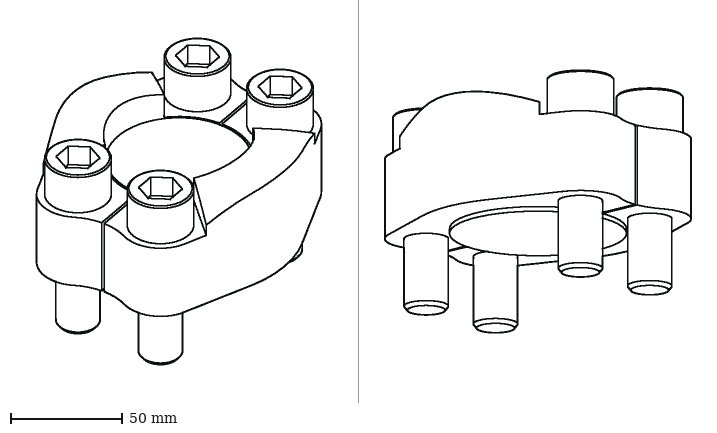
import cadquery as cq
import math


CLAMP_WIDTH = 113.6
CLAMP_LENGTH = 134.0
PAD_HEIGHT = 37.0
CROWN_HEIGHT = 51.9
CROWN_RADIUS = 108.5
BORE_DIAMETER = 67.7
SPLIT_GAP = 1.3
SIDE_RADIUS = CLAMP_WIDTH / 2
WAIST_RADIUS = 29.5

SCREW_X = 22.2
SCREW_Y = 48.4
SHANK_DIAMETER = 20.0
HEAD_DIAMETER = 30.0
HEAD_HEIGHT = SHANK_DIAMETER
HEAD_CHAMFER = 0.8
SCREW_LENGTH = 70.1
TIP_CHAMFER_RADIAL = 1.5
TIP_CHAMFER_LENGTH = 1.9
HEX_ACROSS_FLATS = 17.0
HEX_DEPTH = 10.0

PLUG_DIAMETER = 65.7
PLUG_TOP = PAD_HEIGHT
COLLAR_DIAMETER = 79.5
COLLAR_BOTTOM = -2.1
COLLAR_THICKNESS = 7.1

LOBE_RADIUS = CLAMP_LENGTH / 2 - SCREW_Y


def outline_quarter_points():
    """Joints and arc midpoints of the clamp outline in the +X +Y quarter, from side to waist."""
    screw_distance = math.hypot(SCREW_X, SCREW_Y)
    normal = math.atan2(SCREW_Y, SCREW_X) - math.acos((SIDE_RADIUS - LOBE_RADIUS) / screw_distance)

    waist_lean = math.asin(SCREW_X / (LOBE_RADIUS + WAIST_RADIUS))
    waist_y = SCREW_Y + SCREW_X / math.tan(waist_lean)
    lobe_end = math.pi / 2 + waist_lean
    lobe_middle = (normal + lobe_end) / 2

    def on_lobe(angle):
        return SCREW_X + LOBE_RADIUS * math.cos(angle), SCREW_Y + LOBE_RADIUS * math.sin(angle)

    return {
        "side_middle": (SIDE_RADIUS, 0),
        "side_end": (SIDE_RADIUS * math.cos(normal), SIDE_RADIUS * math.sin(normal)),
        "lobe_start": on_lobe(normal),
        "lobe_middle": on_lobe(lobe_middle),
        "lobe_end": on_lobe(lobe_end),
        "waist_middle": (0, waist_y - WAIST_RADIUS),
    }


def make_outline():
    """Clamp outline as a closed wire, symmetric about X and Y."""
    points = outline_quarter_points()

    def corner(name, x_sign, y_sign):
        x, y = points[name]
        return x_sign * x, y_sign * y

    outline = cq.Workplane("XY").moveTo(*corner("side_end", 1, -1))
    for sign in (1, -1):
        outline = (
            outline
            .threePointArc(corner("side_middle", sign, sign), corner("side_end", sign, sign))
            .lineTo(*corner("lobe_start", sign, sign))
            .threePointArc(corner("lobe_middle", sign, sign), corner("lobe_end", sign, sign))
            .threePointArc(corner("waist_middle", sign, sign), corner("lobe_end", -sign, sign))
            .threePointArc(corner("lobe_middle", -sign, sign), corner("lobe_start", -sign, sign))
            .lineTo(*corner("side_end", -sign, sign))
        )
    return outline.close()


def make_clamp():
    pads = make_outline().extrude(PAD_HEIGHT)

    arch = (
        cq.Workplane("YZ")
        .center(0, CROWN_HEIGHT - CROWN_RADIUS)
        .circle(CROWN_RADIUS)
        .extrude(CLAMP_WIDTH / 2, both=True)
    )
    crown = make_outline().extrude(CROWN_HEIGHT).intersect(arch)

    for sign in (1, -1):
        wedge = (
            cq.Workplane("XY")
            .workplane(offset=PAD_HEIGHT)
            .polyline([(0, 0), (CLAMP_LENGTH, sign * CLAMP_LENGTH), (-CLAMP_LENGTH, sign * CLAMP_LENGTH)])
            .close()
            .extrude(CROWN_HEIGHT)
        )
        crown = crown.cut(wedge)
    body = pads.union(crown)

    bore = cq.Workplane("XY").circle(BORE_DIAMETER / 2).extrude(CROWN_HEIGHT)
    split = cq.Workplane("XY").rect(SPLIT_GAP, CLAMP_LENGTH).extrude(CROWN_HEIGHT)
    return body.cut(bore).cut(split)


def make_plug():
    collar = (
        cq.Workplane("XY")
        .workplane(offset=COLLAR_BOTTOM)
        .circle(COLLAR_DIAMETER / 2)
        .extrude(COLLAR_THICKNESS)
    )
    stem = (
        cq.Workplane("XY")
        .workplane(offset=COLLAR_BOTTOM)
        .circle(PLUG_DIAMETER / 2)
        .extrude(PLUG_TOP - COLLAR_BOTTOM)
    )
    return collar.union(stem)


def make_screw():
    """Socket head screw on the Z axis, head seated on the pad."""
    head_radius = HEAD_DIAMETER / 2
    shank_radius = SHANK_DIAMETER / 2
    head_top = PAD_HEIGHT + HEAD_HEIGHT
    tip = PAD_HEIGHT - SCREW_LENGTH
    screw = (
        cq.Workplane("XZ")
        .moveTo(0, tip)
        .lineTo(shank_radius - TIP_CHAMFER_RADIAL, tip)
        .lineTo(shank_radius, tip + TIP_CHAMFER_LENGTH)
        .lineTo(shank_radius, PAD_HEIGHT)
        .lineTo(head_radius, PAD_HEIGHT)
        .lineTo(head_radius, head_top - HEAD_CHAMFER)
        .lineTo(head_radius - HEAD_CHAMFER, head_top)
        .lineTo(0, head_top)
        .close()
        .revolve(360, (0, 0), (0, 1))
    )
    hex_across_corners = HEX_ACROSS_FLATS / math.cos(math.pi / 6)
    socket = (
        cq.Workplane("XY")
        .workplane(offset=head_top - HEX_DEPTH)
        .transformed(rotate=(0, 0, 90))
        .polygon(6, hex_across_corners)
        .extrude(HEX_DEPTH)
    )
    return screw.cut(socket)


assembly = make_clamp().union(make_plug())
for x in (-SCREW_X, SCREW_X):
    for y in (-SCREW_Y, SCREW_Y):
        assembly = assembly.union(make_screw().translate((x, y, 0)))

result = assembly